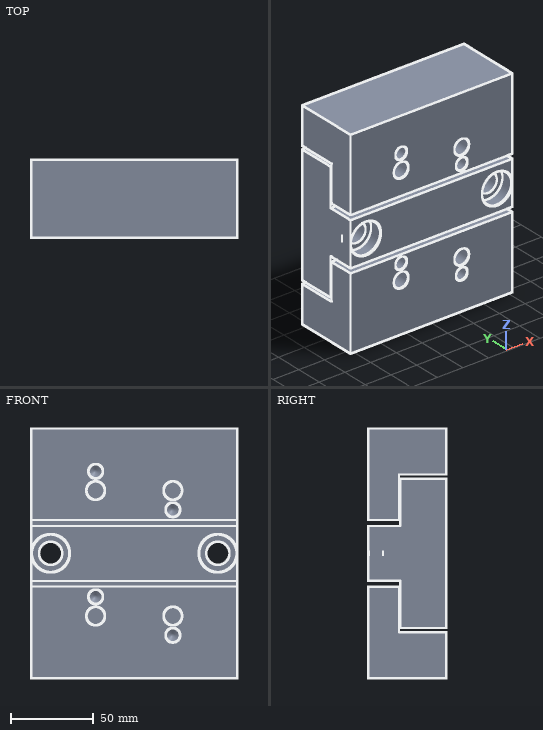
import cadquery as cq
import math

LENGTH_X = 125.7
DEPTH_Y = 47.7
HEIGHT_Z = 152.4
FRONT_Y = -DEPTH_Y / 2
BACK_Y = DEPTH_Y / 2

FLANGE_THICKNESS = 28.2
FLANGE_HEIGHT = 91.1
WEB_HEIGHT = 33.5

FACE_GAP = 0.6
FLANGE_GAP = 2.5
WEB_GAP = 3.5

MOUNT_SPACING = 102.0
MOUNT_DIAMETER = 14.0
COUNTERBORE_DIAMETER = 22.7
COUNTERBORE_DEPTH = 9.1
COUNTERBORE_CHAMFER = 0.5

HOLE_SPACING_X = 47.1
DOWEL_ROW_Z = 38.3
DRILL_OFFSET_Z = 11.7
DOWEL_DIAMETER = 11.0
DOWEL_DEPTH = 12.2
DOWEL_CHAMFER = 0.3
DRILL_DIAMETER = 8.5
DRILL_DEPTH = 12.2
DRILL_CHAMFER = 0.3
DRILL_TIP_ANGLE = 118.0


def front_hole(x, z, profile):
    """Hole tool on a +Y axis, revolved from the (radius, depth) points of the hole wall."""
    outline = [(0, 0)] + profile
    if profile[-1][0] > 0:
        outline.append((0, profile[-1][1]))
    tool = cq.Workplane("XY").polyline(outline).close().revolve(360, (0, 0), (0, 1))
    return tool.translate((x, FRONT_Y, z))


def chamfered_hole(diameter, depth, chamfer):
    """(radius, depth) points of a flat-bottomed hole with a chamfered mouth."""
    radius = diameter / 2
    return [(radius + chamfer, 0), (radius, chamfer), (radius, depth)]


def make_rail():
    flange = cq.Workplane("XY").box(LENGTH_X, FLANGE_THICKNESS, FLANGE_HEIGHT)
    flange = flange.translate((0, BACK_Y - FLANGE_THICKNESS / 2, 0))
    web = cq.Workplane("XY").box(LENGTH_X, DEPTH_Y, WEB_HEIGHT)
    rail = flange.union(web)
    mouth = chamfered_hole(COUNTERBORE_DIAMETER, COUNTERBORE_DEPTH, COUNTERBORE_CHAMFER)
    bore = [(MOUNT_DIAMETER / 2, COUNTERBORE_DEPTH), (MOUNT_DIAMETER / 2, DEPTH_Y)]
    for side in (-1, 1):
        rail = rail.cut(front_hole(side * MOUNT_SPACING / 2, 0, mouth + bore))
    return rail


def make_block(side):
    """Clamp block above (side = 1) or below (side = -1) the rail."""
    lip_back_y = BACK_Y - FLANGE_THICKNESS - FACE_GAP
    lip_end_z = WEB_HEIGHT / 2 + WEB_GAP
    body_end_z = FLANGE_HEIGHT / 2 + FLANGE_GAP
    outer_z = HEIGHT_Z / 2
    outline = [
        (FRONT_Y, side * outer_z),
        (BACK_Y, side * outer_z),
        (BACK_Y, side * body_end_z),
        (lip_back_y, side * body_end_z),
        (lip_back_y, side * lip_end_z),
        (FRONT_Y, side * lip_end_z),
    ]
    block = cq.Workplane("YZ").polyline(outline).close().extrude(LENGTH_X / 2, both=True)

    dowel = chamfered_hole(DOWEL_DIAMETER, DOWEL_DEPTH, DOWEL_CHAMFER)
    tip_length = DRILL_DIAMETER / 2 / math.tan(math.radians(DRILL_TIP_ANGLE / 2))
    drill = chamfered_hole(DRILL_DIAMETER, DRILL_DEPTH, DRILL_CHAMFER) + [(0, DRILL_DEPTH + tip_length)]
    row_z = side * DOWEL_ROW_Z
    for end in (-1, 1):
        x = end * HOLE_SPACING_X / 2
        block = block.cut(front_hole(x, row_z, dowel))
        block = block.cut(front_hole(x, row_z - end * DRILL_OFFSET_Z, drill))
    return block


rail = make_rail()
blocks = [make_block(side) for side in (1, -1)]

result = cq.Compound.makeCompound([rail.val(), *[block.val() for block in blocks]])